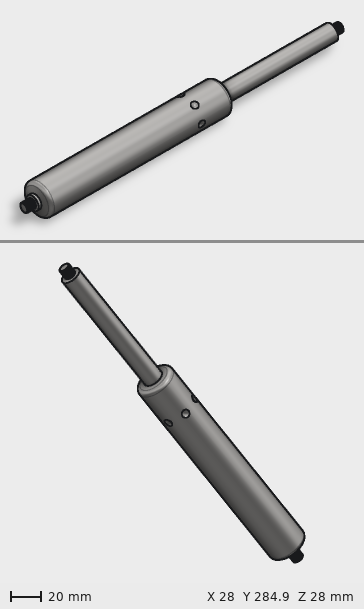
import cadquery as cq
import math

ROD_LENGTH = 100.5
HOUSING_LENGTH = 164.2
NOSE_CONE_LENGTH = 1.7
COLLAR_LENGTH = 2.5
STUD_LENGTH = 8.0

HOUSING_DIAMETER = 28.0
ROD_DIAMETER = 14.0
COLLAR_DIAMETER = 12.0
THREAD_DIAMETER = 8.0
THREAD_ROOT_DIAMETER = 6.5

END_FILLET = 3.0

BORE_DEPTH = 14.2

GROOVE_COUNT = 8

DIMPLE_COUNT = 6
DIMPLE_DIAMETER = 6.0
DIMPLE_BALL_RADIUS = 4.0
DIMPLE_INSET = 28.8

TOTAL_LENGTH = ROD_LENGTH + HOUSING_LENGTH + NOSE_CONE_LENGTH + COLLAR_LENGTH + 2 * STUD_LENGTH
FRONT_TIP_Y = -TOTAL_LENGTH / 2
COLLAR_Y = FRONT_TIP_Y + STUD_LENGTH
NOSE_Y = COLLAR_Y + COLLAR_LENGTH
CONE_BASE_Y = NOSE_Y + NOSE_CONE_LENGTH
ROD_EXIT_Y = CONE_BASE_Y + HOUSING_LENGTH
ROD_END_Y = ROD_EXIT_Y + ROD_LENGTH
BORE_FLOOR_Y = ROD_EXIT_Y - BORE_DEPTH


def cylinder_y(diameter, start_y, length):
    """Solid cylinder on the Y axis, running from start_y towards +Y."""
    plane = cq.Plane(origin=(0, start_y, 0), xDir=(1, 0, 0), normal=(0, 1, 0))
    return cq.Workplane(plane).circle(diameter / 2).extrude(length)


def threaded_stud(base_y, direction):
    """Stud with V-shaped ring grooves, running from base_y along direction (+1 or -1)."""
    crest = THREAD_DIAMETER / 2
    root = THREAD_ROOT_DIAMETER / 2
    pitch = STUD_LENGTH / GROOVE_COUNT
    outline = cq.Workplane("XY").moveTo(0, base_y).lineTo(root, base_y)
    for groove in range(GROOVE_COUNT):
        crest_y = base_y + direction * pitch * (groove + 0.5)
        root_y = base_y + direction * pitch * (groove + 1)
        outline = outline.lineTo(crest, crest_y).lineTo(root, root_y)
    outline = outline.lineTo(0, base_y + direction * STUD_LENGTH).close()
    return outline.revolve(360, (0, 0, 0), (0, 1, 0))


def housing_barrel():
    """Barrel with a rounded rod end and a slightly conical, rounded nose."""
    radius = HOUSING_DIAMETER / 2
    collar_radius = COLLAR_DIAMETER / 2
    barrel = (
        cq.Workplane("XY")
        .moveTo(0, NOSE_Y)
        .lineTo(collar_radius, NOSE_Y)
        .lineTo(radius, CONE_BASE_Y)
        .lineTo(radius, ROD_EXIT_Y)
        .lineTo(0, ROD_EXIT_Y)
        .close()
        .revolve(360, (0, 0, 0), (0, 1, 0))
    )
    rim = cq.selectors.RadiusNthSelector(-1)
    return barrel.edges("%CIRCLE").edges(rim).fillet(END_FILLET)


def dimple_balls():
    """Balls spread evenly around the barrel, the first one along +X."""
    surface = HOUSING_DIAMETER / 2
    offset = math.sqrt(DIMPLE_BALL_RADIUS**2 - (DIMPLE_DIAMETER / 2) ** 2)
    y = ROD_EXIT_Y - DIMPLE_INSET
    ball = cq.Workplane("XY").sphere(DIMPLE_BALL_RADIUS).translate((surface + offset, y, 0))
    return [
        ball.rotate((0, 0, 0), (0, 1, 0), index * 360 / DIMPLE_COUNT)
        for index in range(DIMPLE_COUNT)
    ]


def make_housing():
    housing = housing_barrel()
    housing = housing.union(cylinder_y(COLLAR_DIAMETER, COLLAR_Y, COLLAR_LENGTH))
    housing = housing.union(threaded_stud(COLLAR_Y, -1))
    housing = housing.cut(cylinder_y(ROD_DIAMETER, BORE_FLOOR_Y, BORE_DEPTH))
    for ball in dimple_balls():
        housing = housing.cut(ball)
    return housing


def make_rod():
    rod = cylinder_y(ROD_DIAMETER, BORE_FLOOR_Y, BORE_DEPTH + ROD_LENGTH)
    return rod.union(threaded_stud(ROD_END_Y, 1))


housing = make_housing()
rod = make_rod()

result = cq.Compound.makeCompound([housing.val(), rod.val()])